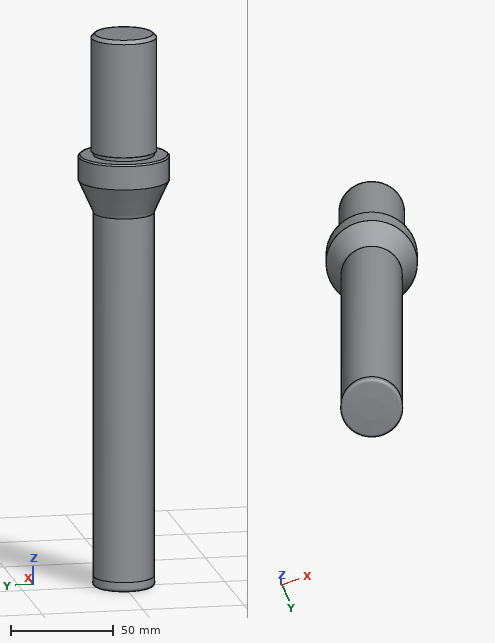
import cadquery as cq
import math

flare_top = 5.3
neck_bottom = 187.2
taper_bottom = 188.7
collar_bottom = 203.5
collar_top = 216.0
groove_top = 218.0
total_length = 276.48

collar_diameter = 44.45
crest_radius = 6.0
lip_radius = 15.1
shaft_radius = 14.9
taper_end_radius = 15.4
collar_radius = collar_diameter / 2
groove_radius = 14.9
shank_radius = 16.0

tip_angle = math.radians(3)
corner_radius = 1.5

collar_chamfer = 0.8
shank_chamfer = 1.8

corner_centre_radius = lip_radius - corner_radius
corner_start_radius = corner_centre_radius + corner_radius * math.sin(tip_angle)
corner_start_height = (corner_start_radius - crest_radius) * math.tan(tip_angle)
lip_height = corner_start_height + corner_radius * math.cos(tip_angle)


def corner_point(angle):
    """Point on the tip corner arc, with the angle taken from straight down."""
    return (
        corner_centre_radius + corner_radius * math.sin(angle),
        lip_height - corner_radius * math.cos(angle),
    )


def make_cutting_tip():
    """Tip with a flat middle, shallow cone, rounded corner and slight back taper."""
    corner_end = math.pi / 2
    outline = (
        cq.Workplane("XZ")
        .lineTo(crest_radius, 0)
        .lineTo(*corner_point(tip_angle))
        .threePointArc(corner_point((tip_angle + corner_end) / 2), corner_point(corner_end))
        .lineTo(shaft_radius, flare_top)
        .lineTo(0, flare_top)
        .close()
    )
    return outline.revolve(360, (0, 0), (0, 1))


def make_drill_body():
    """Shaft, taper, collar, groove and shank turned as one piece above the tip."""
    outline = cq.Workplane("XZ").polyline([
        (0, flare_top),
        (shaft_radius, flare_top),
        (shaft_radius, neck_bottom),
        (taper_end_radius, taper_bottom),
        (collar_radius, collar_bottom),
        (collar_radius, collar_top - collar_chamfer),
        (collar_radius - collar_chamfer, collar_top),
        (groove_radius, collar_top),
        (groove_radius, groove_top),
        (shank_radius, groove_top),
        (shank_radius, total_length - shank_chamfer),
        (shank_radius - shank_chamfer, total_length),
        (0, total_length),
    ]).close()
    return outline.revolve(360, (0, 0), (0, 1))


cutting_tip = make_cutting_tip()
drill_body = make_drill_body()

result = cq.Compound.makeCompound([drill_body.val(), cutting_tip.val()])